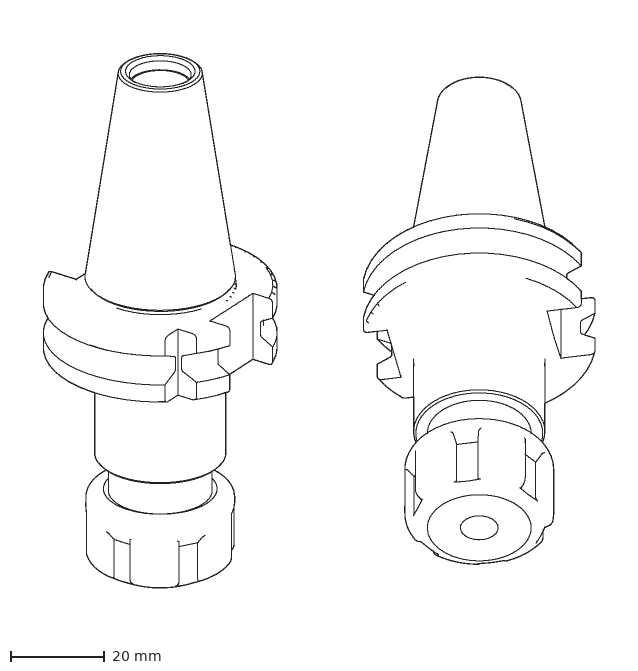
import cadquery as cq
import math

TOTAL_HEIGHT = 117.8

TAPER_LENGTH = 47.8
TAPER_GAUGE_RADIUS = 15.9
TAPER_SLOPE = 7 / 48
TAPER_BASE_OVERRUN = 1.2
TIP_CHAMFER = 0.5

FLANGE_RADIUS = 25.0
FLANGE_THICKNESS = 15.8
FLANGE_EDGE_ROUND = 1.0
FLANGE_TO_GAUGE = 3.2
RELIEF_RADIUS = 15.5
RELIEF_FOOT_ROUND = 0.7
GROOVE_RADIUS = 22.0
GROOVE_FLOOR_ROUND = 0.6
GROOVE_FLOOR_WIDTH = 3.5
GROOVE_FLANK_ANGLE = 30.0
GROOVE_BELOW_GAUGE = 11.1

SLOT_WIDTH = 16.0
LEFT_SLOT_FLOOR = 16.3
RIGHT_SLOT_FLOOR = 18.5
NOTCH_OFFSET = 15.1

BODY_RADIUS = 14.0
BODY_BOTTOM = 26.2
BODY_CHAMFER = 0.5
BODY_FILLET = 5.0
NECK_RADIUS = 11.1

NUT_RADIUS = 15.9
NUT_HEIGHT = 18.1
NUT_TOP_ROUND = 2.0
NUT_BOTTOM_ROUND = 2.0
NUT_FACE_RADIUS = 11.1
NUT_CONE_ANGLE = 30.0
NUT_MOUTH_RADIUS = 12.1
NUT_MOUTH_DEPTH = 0.5

WRENCH_SLOT_COUNT = 6
WRENCH_FLOOR_RADIUS = 13.9
WRENCH_FLOOR_WIDTH = 4.6
WRENCH_MOUTH_WIDTH = 5.9
WRENCH_EDGE_ROUND = 0.6
WRENCH_SLOT_TOP = 13.8
WRENCH_TALL_EXTRA = 1.1
WRENCH_ROOF_DROP = 2.7
WRENCH_CUTTER_OVERSHOOT = 1.2

BORE_ENTRY_RADIUS = 7.4
COUNTERBORE_RADIUS = 6.6
COUNTERBORE_DEPTH = 3.0
SEAT_INNER_RADIUS = 6.2
MIDDLE_BORE_RADIUS = 5.3
MIDDLE_BORE_DEPTH = 4.5
BORE_RADIUS = 4.0

GAUGE_Z = TOTAL_HEIGHT - TAPER_LENGTH
FLANGE_TOP = GAUGE_Z - FLANGE_TO_GAUGE
FLANGE_BOTTOM = FLANGE_TOP - FLANGE_THICKNESS
GROOVE_Z = GAUGE_Z - GROOVE_BELOW_GAUGE
TAPER_BASE_Z = GAUGE_Z - TAPER_BASE_OVERRUN

TOLERANCE = 0.01


def revolve(outline):
    """Turn a closed outline of (radius, height) about the Z axis."""
    return outline.close().revolve(360, (0, 0, 0), (0, 1, 0))


def taper_radius(z):
    return TAPER_GAUGE_RADIUS - (z - GAUGE_Z) * TAPER_SLOPE


def make_taper():
    """Taper, with a relief below it that runs into the flange through a small foot fillet."""
    base_radius = taper_radius(TAPER_BASE_Z)
    relief_top = TAPER_BASE_Z - (base_radius - RELIEF_RADIUS)
    foot_offset = RELIEF_FOOT_ROUND * (1 - math.sqrt(0.5))
    tip_radius = taper_radius(TOTAL_HEIGHT)
    outline = (
        cq.Workplane("XZ")
        .moveTo(0, FLANGE_BOTTOM)
        .lineTo(RELIEF_RADIUS, FLANGE_BOTTOM)
        .lineTo(RELIEF_RADIUS, FLANGE_TOP)
        .lineTo(RELIEF_RADIUS + RELIEF_FOOT_ROUND, FLANGE_TOP)
        .threePointArc(
            (RELIEF_RADIUS + foot_offset, FLANGE_TOP + foot_offset),
            (RELIEF_RADIUS, FLANGE_TOP + RELIEF_FOOT_ROUND),
        )
        .lineTo(RELIEF_RADIUS, relief_top)
        .lineTo(base_radius, TAPER_BASE_Z)
        .lineTo(tip_radius, TOTAL_HEIGHT)
        .lineTo(0, TOTAL_HEIGHT)
    )
    return revolve(outline).faces(">Z").edges().chamfer(TIP_CHAMFER)


def make_flange():
    flange = (
        cq.Workplane("XY", origin=(0, 0, FLANGE_BOTTOM))
        .circle(FLANGE_RADIUS)
        .extrude(FLANGE_THICKNESS)
        .edges()
        .fillet(FLANGE_EDGE_ROUND)
    )
    half_floor = GROOVE_FLOOR_WIDTH / 2
    groove_depth = FLANGE_RADIUS - GROOVE_RADIUS
    half_mouth = half_floor + groove_depth * math.tan(math.radians(GROOVE_FLANK_ANGLE))
    groove = (
        cq.Workplane("XZ")
        .moveTo(GROOVE_RADIUS, GROOVE_Z - half_floor)
        .lineTo(FLANGE_RADIUS, GROOVE_Z - half_mouth)
        .lineTo(FLANGE_RADIUS, GROOVE_Z + half_mouth)
        .lineTo(GROOVE_RADIUS, GROOVE_Z + half_floor)
    )
    groove_ring = revolve(groove)
    floor_edges = cq.selectors.RadiusNthSelector(0)
    return flange.cut(groove_ring.edges(floor_edges).fillet(GROOVE_FLOOR_ROUND))


def make_body():
    """Body with the concave fillet below the flange, and the neck that enters the nut."""
    fillet_offset = BODY_FILLET * (1 - math.sqrt(0.5))
    outline = (
        cq.Workplane("XZ")
        .moveTo(0, NUT_HEIGHT / 2)
        .lineTo(NECK_RADIUS, NUT_HEIGHT / 2)
        .lineTo(NECK_RADIUS, BODY_BOTTOM)
        .lineTo(BODY_RADIUS - BODY_CHAMFER, BODY_BOTTOM)
        .lineTo(BODY_RADIUS, BODY_BOTTOM + BODY_CHAMFER)
        .lineTo(BODY_RADIUS, FLANGE_BOTTOM - BODY_FILLET)
        .threePointArc(
            (BODY_RADIUS + fillet_offset, FLANGE_BOTTOM - fillet_offset),
            (BODY_RADIUS + BODY_FILLET, FLANGE_BOTTOM),
        )
        .lineTo(0, FLANGE_BOTTOM)
    )
    return revolve(outline)


def box_between(x_range, y_range):
    """Upright cutter through the flange and the fillet below it."""
    bottom = FLANGE_BOTTOM - BODY_FILLET
    return cq.Workplane("XY").box(
        x_range[1] - x_range[0],
        y_range[1] - y_range[0],
        FLANGE_TOP - bottom,
        centered=False,
    ).translate((x_range[0], y_range[0], bottom))


def cut_flange_slots(holder):
    half = SLOT_WIDTH / 2
    holder = holder.cut(box_between((-FLANGE_RADIUS, -LEFT_SLOT_FLOOR), (-half, half)))
    holder = holder.cut(box_between((RIGHT_SLOT_FLOOR, FLANGE_RADIUS), (-half, half)))
    return holder.cut(box_between((NOTCH_OFFSET, FLANGE_RADIUS), (-FLANGE_RADIUS, -NOTCH_OFFSET)))


def make_nut():
    """Nut with a rounded top, a conical lower face and a shallow conical mouth around the neck."""
    cone_height = (NUT_RADIUS - NUT_FACE_RADIUS) * math.tan(math.radians(NUT_CONE_ANGLE))
    outline = (
        cq.Workplane("XZ")
        .lineTo(NUT_FACE_RADIUS, 0)
        .lineTo(NUT_RADIUS, cone_height)
        .lineTo(NUT_RADIUS, NUT_HEIGHT)
        .lineTo(0, NUT_HEIGHT)
    )
    nut = revolve(outline)
    nut = nut.faces(">Z").edges().fillet(NUT_TOP_ROUND)
    nut = nut.edges(cq.selectors.RadiusNthSelector(-1)).edges("<Z").fillet(NUT_BOTTOM_ROUND)
    mouth = (
        cq.Workplane("XZ")
        .moveTo(0, NUT_HEIGHT - NUT_MOUTH_DEPTH)
        .lineTo(NECK_RADIUS, NUT_HEIGHT - NUT_MOUTH_DEPTH)
        .lineTo(NUT_MOUTH_RADIUS, NUT_HEIGHT)
        .lineTo(0, NUT_HEIGHT)
    )
    return nut.cut(revolve(mouth))


def wrench_slot(top):
    """Cutter on the +X side: flared side walls and a sloping roof above a flat floor."""
    wall_slope = (WRENCH_MOUTH_WIDTH - WRENCH_FLOOR_WIDTH) / 2 / (NUT_RADIUS - WRENCH_FLOOR_RADIUS)
    roof_slope = WRENCH_ROOF_DROP / (NUT_RADIUS - WRENCH_FLOOR_RADIUS)
    reach = NUT_RADIUS + WRENCH_CUTTER_OVERSHOOT
    depth = reach - WRENCH_FLOOR_RADIUS
    half_floor = WRENCH_FLOOR_WIDTH / 2
    half_mouth = half_floor + wall_slope * depth
    floor_top = top - WRENCH_ROOF_DROP
    plan = (
        cq.Workplane("XY")
        .polyline(
            [
                (WRENCH_FLOOR_RADIUS, -half_floor),
                (reach, -half_mouth),
                (reach, half_mouth),
                (WRENCH_FLOOR_RADIUS, half_floor),
            ]
        )
        .close()
        .extrude(NUT_HEIGHT)
    )
    side = (
        cq.Workplane("XZ")
        .polyline(
            [
                (WRENCH_FLOOR_RADIUS, 0),
                (reach, 0),
                (reach, floor_top + roof_slope * depth),
                (WRENCH_FLOOR_RADIUS, floor_top),
            ]
        )
        .close()
        .extrude(half_mouth, both=True)
    )
    return plan.intersect(side)


def is_wrench_slot_rim(edge):
    """True for an edge where a slot's side wall or roof meets the nut's cylinder."""
    ends = [edge.startPoint(), edge.endPoint()]
    on_cylinder = all(abs(math.hypot(end.x, end.y) - NUT_RADIUS) < TOLERANCE for end in ends)
    below_top_round = edge.Center().z < NUT_HEIGHT - NUT_TOP_ROUND - TOLERANCE
    is_full_rim = edge.geomType() == "CIRCLE"
    return on_cylinder and below_top_round and not is_full_rim


def cut_wrench_slots(nut):
    """The slots on the +Y half of the nut are taller than those on the -Y half."""
    pitch = 360 / WRENCH_SLOT_COUNT
    for index in range(WRENCH_SLOT_COUNT):
        angle = (index + 0.5) * pitch
        top = WRENCH_SLOT_TOP + (WRENCH_TALL_EXTRA if angle < 180 else 0)
        nut = nut.cut(wrench_slot(top).rotate((0, 0, 0), (0, 0, 1), angle))
    rims = nut.edges().filter(is_wrench_slot_rim)
    return nut.newObject(rims.vals()).fillet(WRENCH_EDGE_ROUND)


def make_bore():
    entry_depth = BORE_ENTRY_RADIUS - COUNTERBORE_RADIUS
    cone_depth = MIDDLE_BORE_RADIUS - BORE_RADIUS
    outline = (
        cq.Workplane("XZ")
        .lineTo(BORE_RADIUS, 0)
        .lineTo(BORE_RADIUS, TOTAL_HEIGHT - MIDDLE_BORE_DEPTH - cone_depth)
        .lineTo(MIDDLE_BORE_RADIUS, TOTAL_HEIGHT - MIDDLE_BORE_DEPTH)
        .lineTo(SEAT_INNER_RADIUS, TOTAL_HEIGHT - COUNTERBORE_DEPTH)
        .lineTo(COUNTERBORE_RADIUS, TOTAL_HEIGHT - COUNTERBORE_DEPTH)
        .lineTo(COUNTERBORE_RADIUS, TOTAL_HEIGHT - entry_depth)
        .lineTo(BORE_ENTRY_RADIUS, TOTAL_HEIGHT)
        .lineTo(0, TOTAL_HEIGHT)
    )
    return revolve(outline)


holder = cut_flange_slots(make_taper().union(make_flange()).union(make_body()))
nut = cut_wrench_slots(make_nut())
result = holder.union(nut).cut(make_bore())